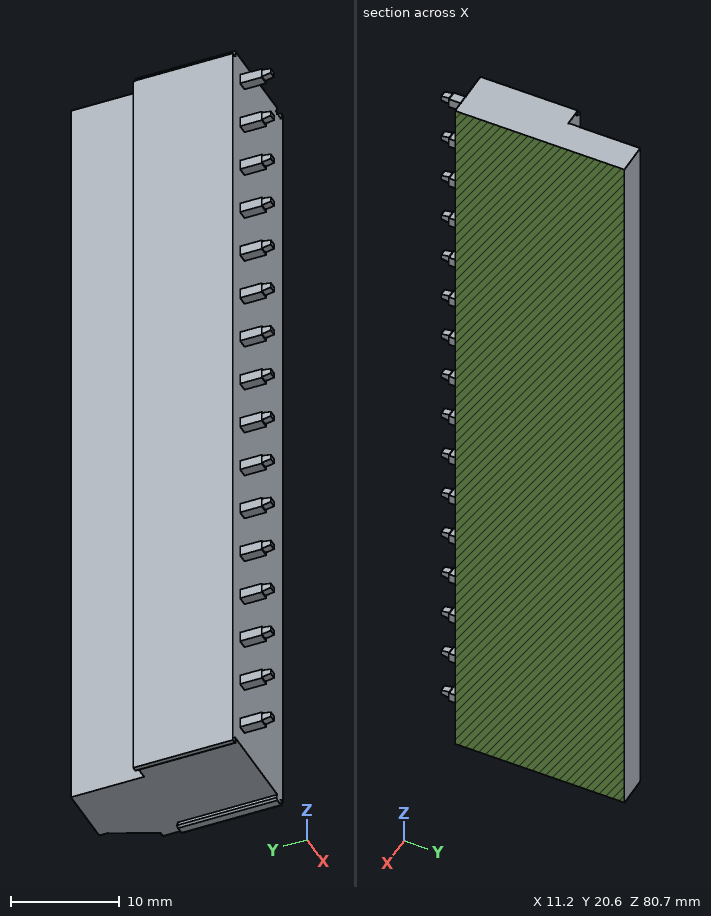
import cadquery as cq

pin_count = 16
pitch = 5.0
housing_height = pin_count * pitch

width = 11.2
depth = 17.45
ledge_depth = 10.05
shoulder_depth = 12.15
upper_left = 2.4
upper_right = 8.7
bevel_start_depth = 16.6
bevel_end = 10.7

key_height = 0.65
key_bulge_drop = 0.5
edge_key_neck = 0.49
edge_key_bulge = 0.68
edge_key_tip = 0.46
inner_key_center = 10.3
inner_key_neck = 0.82
inner_key_bulge = 1.25
inner_key_tip = 0.76

pin_size = 1.0
pin_length = 3.1
pin_tip_length = 0.9
pin_tip_inset = 0.02
pin_tip_width = 0.73
pin_tip_root = 0.8
pin_tip_end = 0.5
pin_left = 1.6
first_pin_z = pitch / 2


def make_housing():
    outline = [
        (0, 0),
        (width, 0),
        (width, shoulder_depth),
        (bevel_end, shoulder_depth),
        (upper_right, bevel_start_depth),
        (upper_right, depth),
        (upper_left, depth),
        (upper_left, ledge_depth),
        (0, ledge_depth),
    ]
    return cq.Workplane("XY").polyline(outline).close().extrude(housing_height)


def make_keys(face_z):
    """Edge key and inner key hanging below the height face_z."""
    bulge_z = face_z - key_bulge_drop
    tip_z = face_z - key_height
    edge_key = [
        (0, face_z),
        (edge_key_neck, face_z),
        (edge_key_bulge, bulge_z),
        (edge_key_tip, tip_z),
        (0, tip_z),
    ]
    inner_key = [
        (inner_key_center - inner_key_neck / 2, face_z),
        (inner_key_center + inner_key_neck / 2, face_z),
        (inner_key_center + inner_key_bulge / 2, bulge_z),
        (inner_key_center + inner_key_tip / 2, tip_z),
        (inner_key_center - inner_key_tip / 2, tip_z),
        (inner_key_center - inner_key_bulge / 2, bulge_z),
    ]
    keys = cq.Workplane("XZ")
    for outline in (edge_key, inner_key):
        keys = keys.polyline(outline).close()
    return keys.extrude(-ledge_depth)


def make_pin(z):
    """Square pin pointing towards -Y; its narrower tip sits near the -X face and tapers in Z."""
    shank_length = pin_length - pin_tip_length
    shank = (
        cq.Workplane("XZ")
        .center(pin_left + pin_size / 2, z)
        .rect(pin_size, pin_size)
        .extrude(shank_length)
    )
    tip_outline = [
        (-shank_length, z - pin_tip_root / 2),
        (-pin_length, z - pin_tip_end / 2),
        (-pin_length, z + pin_tip_end / 2),
        (-shank_length, z + pin_tip_root / 2),
    ]
    tip = (
        cq.Workplane("YZ", origin=(pin_left + pin_tip_inset, 0, 0))
        .polyline(tip_outline)
        .close()
        .extrude(pin_tip_width)
    )
    return shank.union(tip)


result = make_housing().cut(make_keys(housing_height)).union(make_keys(0))
for index in range(pin_count):
    result = result.union(make_pin(first_pin_z + index * pitch))